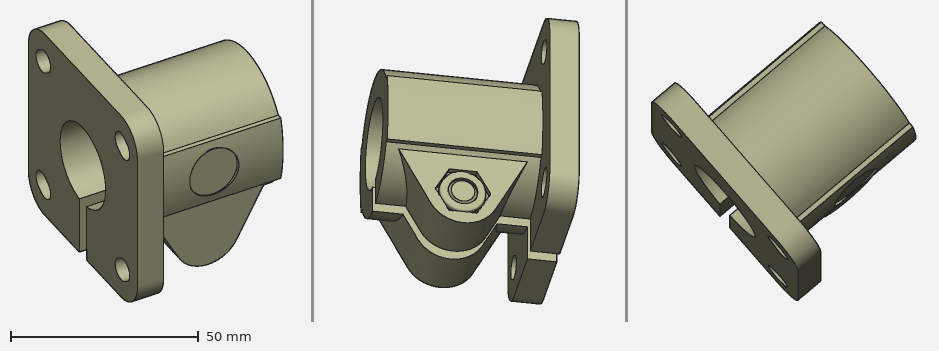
import cadquery as cq
import math

plate_side = 60.0
plate_thickness = 8.0
plate_corner_radius = 9.0

total_length = 50.0
sleeve_radius = 20.0
bore_radius = 12.5
slit_width = 4.0
sleeve_middle_y = (plate_thickness + total_length) / 2

pad_half_height = 10.0
pad_face_radius = 40.0
pad_edge_x = sleeve_radius - pad_face_radius + math.sqrt(pad_face_radius**2 - pad_half_height**2)

recess_diameter = 15.0
recess_depth = 1.0

ear_face_x = 16.5
ear_tip_radius = 10.0
ear_top_half_width = 17.5
ear_top_z = -11.25
bolt_z = -22.5

bolt_diameter = 8.0
bolt_end_chamfer = 0.8
nut_across_flats = 13.0
nut_corner_diameter = nut_across_flats / math.cos(math.pi / 6)
nut_crown_diameter = 12.6
nut_crown_height = 1.4
nut_crown_fillet = 0.55
nut_shoulder_diameter = 12.9
nut_shoulder_drop = 0.4

slot_width = 6.5
square_offset = 21.0
rectangle_offset_x = 22.5
rectangle_offset_z = 20.0


def along_x(solid_profile, start_x, length):
    """Turn a profile drawn in (Y, Z) into a solid running in +X from start_x."""
    return solid_profile(cq.Workplane("YZ", origin=(start_x, 0, 0))).extrude(length)


def make_plate():
    return (
        cq.Workplane("XY")
        .box(plate_side, plate_thickness, plate_side, centered=(True, False, True))
        .edges("|Y")
        .fillet(plate_corner_radius)
    )


def make_sleeve():
    round_body = cq.Workplane("XZ").circle(sleeve_radius).extrude(-total_length)
    pads = (
        cq.Workplane("XZ", origin=(0, plate_thickness, 0))
        .moveTo(-pad_edge_x, -pad_half_height)
        .lineTo(pad_edge_x, -pad_half_height)
        .threePointArc((sleeve_radius, 0), (pad_edge_x, pad_half_height))
        .lineTo(-pad_edge_x, pad_half_height)
        .threePointArc((-sleeve_radius, 0), (-pad_edge_x, -pad_half_height))
        .close()
        .extrude(plate_thickness - total_length)
    )
    return round_body.union(pads)


def make_ears():
    """Both ears as one block; flanks run tangent from the top corners to the round tip."""
    height = ear_top_z - bolt_z
    corner_distance = math.hypot(ear_top_half_width, height)
    tangent_angle = math.atan2(height, ear_top_half_width) - math.acos(ear_tip_radius / corner_distance)
    tangent_y = ear_tip_radius * math.cos(tangent_angle)
    tangent_z = bolt_z + ear_tip_radius * math.sin(tangent_angle)

    def outline(plane):
        return (
            plane.moveTo(sleeve_middle_y - ear_top_half_width, ear_top_z)
            .lineTo(sleeve_middle_y - tangent_y, tangent_z)
            .threePointArc(
                (sleeve_middle_y, bolt_z - ear_tip_radius),
                (sleeve_middle_y + tangent_y, tangent_z),
            )
            .lineTo(sleeve_middle_y + ear_top_half_width, ear_top_z)
            .close()
        )

    return along_x(outline, -ear_face_x, 2 * ear_face_x)


def make_mounting_slots():
    run_x = rectangle_offset_x - square_offset
    run_z = rectangle_offset_z - square_offset
    slot = (
        cq.Workplane("XZ")
        .center((rectangle_offset_x + square_offset) / 2, (rectangle_offset_z + square_offset) / 2)
        .slot2D(math.hypot(run_x, run_z) + slot_width, slot_width, math.degrees(math.atan2(run_z, run_x)))
        .extrude(-plate_thickness)
    )
    right_slots = slot.union(slot.mirror("XY"))
    return right_slots.union(right_slots.mirror("YZ"))


def bolt_cone(start_diameter, end_diameter, start_x, length):
    cone = cq.Solid.makeCone(
        start_diameter / 2,
        end_diameter / 2,
        length,
        cq.Vector(start_x, sleeve_middle_y, bolt_z),
        cq.Vector(1, 0, 0),
    )
    return cq.Workplane(cone)


def bolt_cylinder(diameter, start_x, length):
    return along_x(lambda plane: plane.center(sleeve_middle_y, bolt_z).circle(diameter / 2), start_x, length)


def make_nut_gap():
    """Space left around the nut crown in its hexagonal pocket, and around the bolt end."""
    pocket_depth = nut_crown_height + nut_shoulder_drop
    pocket = along_x(
        lambda plane: plane.center(sleeve_middle_y, bolt_z).polygon(6, nut_corner_diameter),
        -ear_face_x,
        pocket_depth,
    )
    crown = bolt_cylinder(nut_crown_diameter, -ear_face_x, pocket_depth)
    crown = crown.faces("<X").fillet(nut_crown_fillet)
    shoulder = bolt_cone(
        nut_shoulder_diameter,
        nut_corner_diameter,
        nut_crown_height - ear_face_x,
        nut_shoulder_drop,
    )
    bolt_hole = bolt_cylinder(bolt_diameter, -ear_face_x, bolt_end_chamfer)
    bolt_tip_diameter = bolt_diameter - 2 * bolt_end_chamfer
    bolt_end = bolt_cone(bolt_tip_diameter, bolt_diameter, -ear_face_x, bolt_end_chamfer)
    return pocket.cut(crown).cut(shoulder).union(bolt_hole.cut(bolt_end))


def make_pad_recess():
    return along_x(
        lambda plane: plane.center(sleeve_middle_y, 0).circle(recess_diameter / 2),
        sleeve_radius - recess_depth,
        recess_depth,
    )


bore = cq.Workplane("XZ").circle(bore_radius).extrude(-total_length)
slit = cq.Workplane("XY").box(slit_width, total_length, plate_side, centered=(True, False, False))
slit = slit.translate((0, 0, -plate_side))

result = make_plate().union(make_sleeve()).union(make_ears())
result = result.cut(bore).cut(slit).cut(make_mounting_slots())
result = result.union(bolt_cylinder(bolt_diameter, -slit_width / 2, slit_width))
result = result.cut(make_nut_gap()).cut(make_pad_recess())